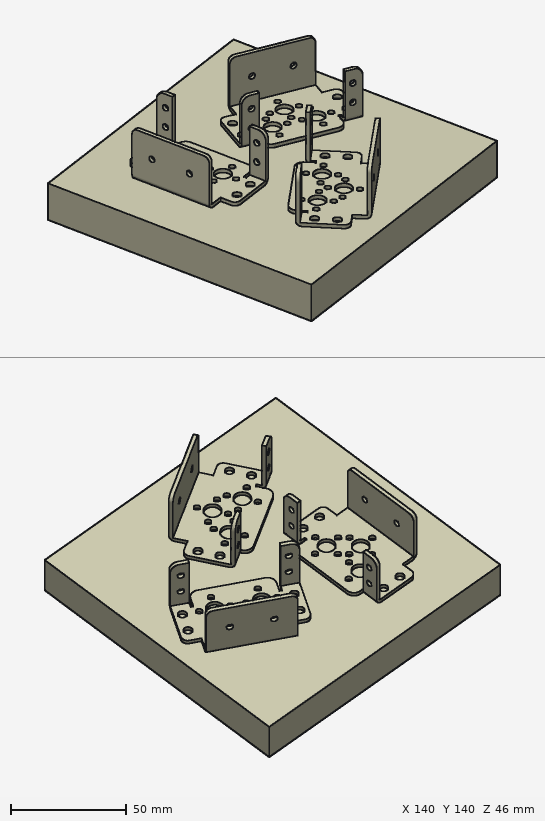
import cadquery as cq

BASE_SIDE = 140
TOTAL_HEIGHT = 46.0
BRACKET_HEIGHT = 27.0
BASE_HEIGHT = TOTAL_HEIGHT - BRACKET_HEIGHT

SHEET = 2.0
BEND_OUTER_RADIUS = 3.0

BRACKET_WIDTH = 58.0
FLANGE_WIDTH = 41.0
FLANGE_OUTER_Y = -24.5
EAR_OUTER_Y = 8.0
WING_FRONT_Y = -16.0
TONGUE_END_Y = 12.5
NOTCH_WIDTH = 1.3
NOTCH_BOTTOM_Y = 3.5
TONGUE_CORNER_RADIUS = 4.0
WING_CORNER_RADIUS = 3.0
FLANGE_CORNER_RADIUS = 3.0
EAR_CORNER_RADIUS = 4.0
EAR_WIDTH = (BRACKET_WIDTH - FLANGE_WIDTH) / 2
TONGUE_WIDTH = FLANGE_WIDTH - 2 * NOTCH_WIDTH

HUB_HOLE_DIAMETER = 8.0
HUB_HOLE_OFFSET = 10.5
SCREW_HOLE_DIAMETER = 3.0
SCREW_HOLE_OFFSET = 7
WING_HOLE_DIAMETER = 4.0
WING_HOLE_X = 25.0
HOLE_PITCH = 10.0
EAR_HOLE_X = 24.2
EAR_HOLE_LOW_Z = 10.0
FLANGE_HOLE_X = 10.0
FLANGE_HOLE_Z = 14.8

BRACKET_COUNT = 3
BRACKET_X = -21
BRACKET_Y = -22.5


def make_base():
    return cq.Workplane("XY").box(BASE_SIDE, BASE_SIDE, BASE_HEIGHT, centered=(True, True, False))


def flat_panel(width, y_min, y_max):
    """Horizontal sheet, centred in X, resting on Z = 0."""
    return (
        cq.Workplane("XY")
        .box(width, y_max - y_min, SHEET, centered=(True, False, False))
        .translate((0, y_min, 0))
    )


def bent_strip(x_min, width, outer_y, inner_y):
    """L-shaped strip from inner_y to a wall at outer_y; the bend is round outside and sharp inside."""
    outward = 1 if outer_y > inner_y else -1
    wall_y = outer_y - outward * SHEET
    return (
        cq.Workplane("YZ")
        .moveTo(inner_y, 0)
        .lineTo(outer_y - outward * BEND_OUTER_RADIUS, 0)
        .radiusArc((outer_y, BEND_OUTER_RADIUS), -outward * BEND_OUTER_RADIUS)
        .lineTo(outer_y, BRACKET_HEIGHT)
        .lineTo(wall_y, BRACKET_HEIGHT)
        .lineTo(wall_y, SHEET)
        .lineTo(inner_y, SHEET)
        .close()
        .extrude(width)
        .translate((x_min, 0, 0))
    )


def make_floor():
    """Tongue at the back and, beside it, wings that reach up to the ears."""
    wings = flat_panel(BRACKET_WIDTH, WING_FRONT_Y, NOTCH_BOTTOM_Y)
    wings = wings.edges("|Z and <Y").fillet(WING_CORNER_RADIUS)
    tongue = flat_panel(TONGUE_WIDTH, WING_FRONT_Y, TONGUE_END_Y)
    tongue = tongue.edges("|Z and >Y").fillet(TONGUE_CORNER_RADIUS)
    return wings.union(tongue)


def make_flange():
    flange = bent_strip(-FLANGE_WIDTH / 2, FLANGE_WIDTH, FLANGE_OUTER_Y, WING_FRONT_Y)
    return flange.edges("|Y and >Z").fillet(FLANGE_CORNER_RADIUS)


def make_ears():
    left = bent_strip(-BRACKET_WIDTH / 2, EAR_WIDTH, EAR_OUTER_Y, NOTCH_BOTTOM_Y)
    left = left.edges("|Y and >Z and <X").fillet(EAR_CORNER_RADIUS)
    return left.union(left.mirror("YZ"))


def floor_drill(diameter, points):
    return cq.Workplane("XY").pushPoints(points).circle(diameter / 2).extrude(SHEET)


def wall_drill(outer_y, points):
    """Screw hole cutters through the wall whose outer face is at outer_y."""
    inward = -1 if outer_y > 0 else 1
    return (
        cq.Workplane("XZ", origin=(0, outer_y, 0))
        .pushPoints(points)
        .circle(SCREW_HOLE_DIAMETER / 2)
        .extrude(-inward * SHEET)
    )


def make_bracket():
    hub_points = [(-HUB_HOLE_OFFSET, 0), (HUB_HOLE_OFFSET, 0), (0, -HUB_HOLE_OFFSET)]
    screw_directions = [(1, 0), (-1, 0), (0, 1), (0, -1)]
    screw_points = [
        (x + dx * SCREW_HOLE_OFFSET, y + dy * SCREW_HOLE_OFFSET)
        for x, y in hub_points
        for dx, dy in screw_directions
    ]
    wing_points = [(side * WING_HOLE_X, y) for side in (-1, 1) for y in (0, -HOLE_PITCH)]
    ear_points = [
        (side * EAR_HOLE_X, z)
        for side in (-1, 1)
        for z in (EAR_HOLE_LOW_Z, EAR_HOLE_LOW_Z + HOLE_PITCH)
    ]
    flange_points = [(side * FLANGE_HOLE_X, FLANGE_HOLE_Z) for side in (-1, 1)]

    return (
        make_floor()
        .union(make_flange())
        .union(make_ears())
        .cut(floor_drill(HUB_HOLE_DIAMETER, hub_points))
        .cut(floor_drill(SCREW_HOLE_DIAMETER, screw_points))
        .cut(floor_drill(WING_HOLE_DIAMETER, wing_points))
        .cut(wall_drill(EAR_OUTER_Y, ear_points))
        .cut(wall_drill(FLANGE_OUTER_Y, flange_points))
    )


base = make_base()
first_bracket = make_bracket().translate((BRACKET_X, BRACKET_Y, BASE_HEIGHT))
brackets = [
    first_bracket.rotate((0, 0, 0), (0, 0, 1), index * 360 / BRACKET_COUNT)
    for index in range(BRACKET_COUNT)
]

result = cq.Compound.makeCompound([base.val(), *[bracket.val() for bracket in brackets]])